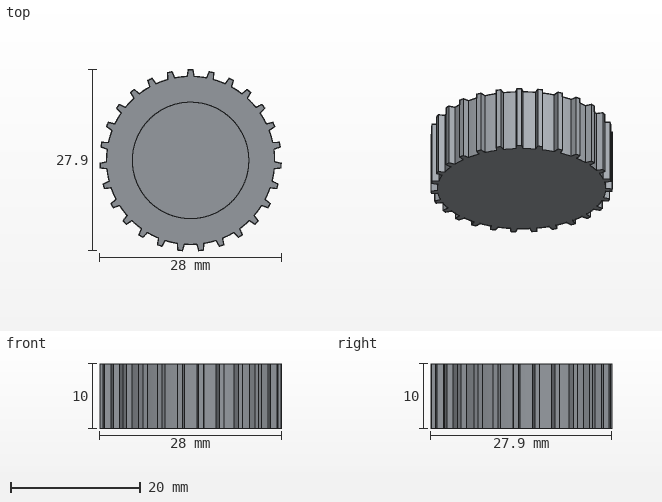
import cadquery as cq

height = 10.0
tip_distance = 14.0
tooth_height = 1.0
root_radius = tip_distance - tooth_height
bore_diameter = 18.0
bore_depth = 6.0

tooth_count = 27
tooth_tip_width = 0.75
tooth_root_width = 1.1
tooth_overlap = 0.28


def make_tooth():
    """Straight tapered tooth pointing along +Y, rooted inside the body."""
    half_tip = tooth_tip_width / 2
    half_root = tooth_root_width / 2
    outline = [
        (-half_root, root_radius - tooth_overlap),
        (half_root, root_radius - tooth_overlap),
        (half_root, root_radius),
        (half_tip, tip_distance),
        (-half_tip, tip_distance),
        (-half_root, root_radius),
    ]
    return cq.Workplane("XY").polyline(outline).close().extrude(height)


def make_toothed_body():
    """Round body with the teeth spaced evenly around it."""
    body = cq.Workplane("XY").circle(root_radius).extrude(height)
    tooth = make_tooth()
    for index in range(tooth_count):
        angle = index * 360 / tooth_count
        body = body.union(tooth.rotate((0, 0, 0), (0, 0, 1), angle))
    return body


def make_bore():
    """Cylinder removed from the top face."""
    floor = cq.Workplane("XY").workplane(offset=height - bore_depth)
    return floor.circle(bore_diameter / 2).extrude(bore_depth)


result = make_toothed_body().cut(make_bore())